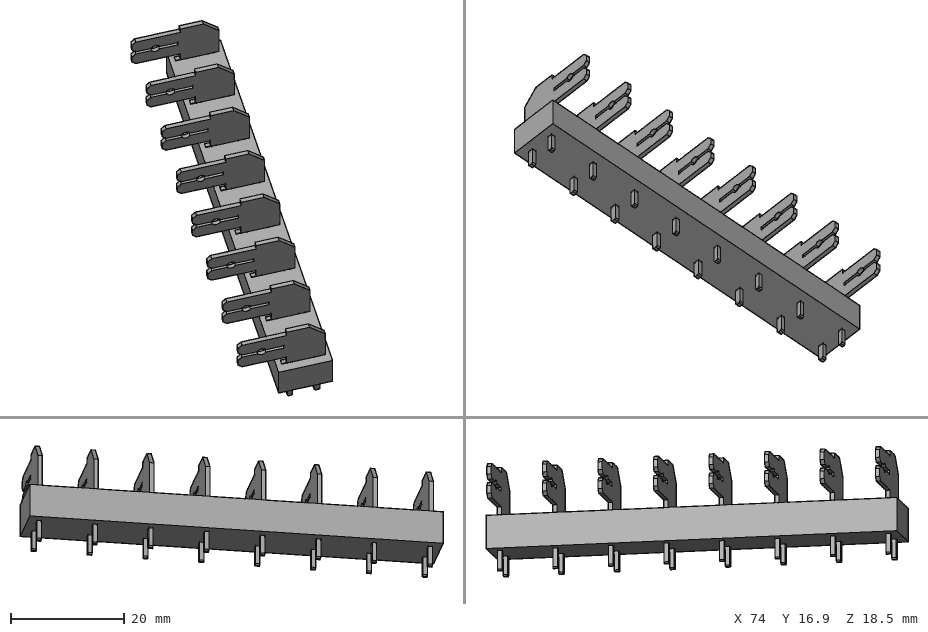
import cadquery as cq

housing_length = 74.0
housing_depth = 9.9
housing_height = 6.0

contact_count = 8
contact_pitch = 10.0
contact_thickness = 0.8

plate_back_inset = 0.9
plate_width = 7.1
plate_height = 8.9
plate_chamfer = 2.9

foot_length = 0.9
foot_height = 0.2

tongue_overhang = 6.95
tongue_drop = 0.95
tongue_height = 6.2
tip_chamfer = 0.7
slot_width = 0.65
slot_end_to_plate = 0.45
eye_radius = 0.8
eye_to_tip = 4.3

rear_pin = (2.4, 1.1)
front_pin = (7.4, 0.9)
pin_length = 3.6
pin_tip_chamfer = 0.25

housing_back = housing_depth / 2
housing_front = -housing_depth / 2
plate_back = housing_back - plate_back_inset
plate_front = plate_back - plate_width
plate_top = housing_height + plate_height
tongue_tip = housing_front - tongue_overhang
tongue_top = plate_top - tongue_drop
tongue_bottom = tongue_top - tongue_height
slot_middle = tongue_top - tongue_height / 2
slot_top = slot_middle + slot_width / 2
slot_bottom = slot_middle - slot_width / 2
slot_end = plate_front - slot_end_to_plate
contact_places = [(i - (contact_count - 1) / 2) * contact_pitch for i in range(contact_count)]


def slab(y_front, y_back, z_bottom, z_top):
    """Rectangular piece of contact sheet, centred on X = 0."""
    width = y_back - y_front
    height = z_top - z_bottom
    return cq.Workplane("XY").box(contact_thickness, width, height).translate(
        (0, (y_front + y_back) / 2, (z_bottom + z_top) / 2)
    )


def make_plate():
    plate = slab(plate_front, plate_back, housing_height, plate_top)
    return plate.edges("|X and >Y and >Z").chamfer(plate_chamfer)


def make_foot():
    return slab(plate_front - foot_length, plate_front, housing_height, housing_height + foot_height)


def make_prong(z_bottom, z_top):
    """One prong of the fork, chamfered at both corners of its tip."""
    prong = slab(tongue_tip, plate_front, z_bottom, z_top)
    return prong.faces("<Y").edges("|X").chamfer(tip_chamfer)


def make_fork():
    """Two prongs joined by a web behind the slot, with a round eye part way along the slot."""
    upper = make_prong(slot_top, tongue_top)
    lower = make_prong(tongue_bottom, slot_bottom)
    web = slab(slot_end, plate_front, slot_bottom, slot_top)
    eye = (
        cq.Workplane("YZ")
        .center(tongue_tip + eye_to_tip, slot_middle)
        .circle(eye_radius)
        .extrude(contact_thickness / 2, both=True)
    )
    return upper.union(web).union(lower).cut(eye)


def make_pin(pin):
    centre_from_back, width = pin
    centre = housing_back - centre_from_back
    shank = slab(centre - width / 2, centre + width / 2, -pin_length, housing_height)
    return shank.faces("<Z").edges("|X").chamfer(pin_tip_chamfer)


def make_contact():
    contact = make_plate().union(make_foot()).union(make_fork())
    return contact.union(make_pin(rear_pin)).union(make_pin(front_pin))


contact = make_contact()
contacts = [contact.translate((x, 0, 0)) for x in contact_places]

housing = cq.Workplane("XY").box(
    housing_length, housing_depth, housing_height, centered=(True, True, False)
)
for placed_contact in contacts:
    housing = housing.cut(placed_contact)

result = cq.Compound.makeCompound([housing.val(), *[c.val() for c in contacts]])